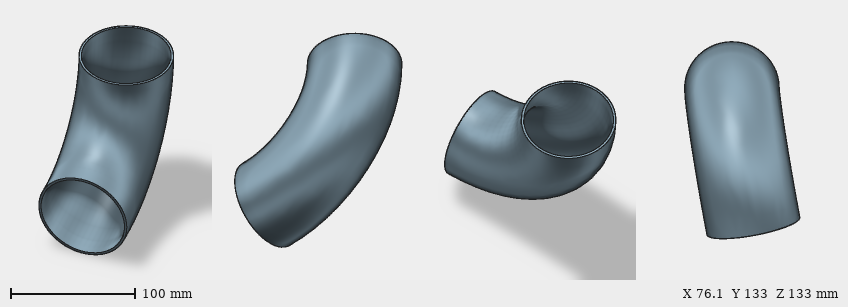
import cadquery as cq

overall_size = 133.0
outer_diameter = 76.1
wall_thickness = 2.0
bend_angle = 90.0

outer_radius = outer_diameter / 2
inner_radius = outer_radius - wall_thickness
bend_radius = overall_size - outer_radius

axis_start = (0, -bend_radius)
axis_end = (-1, -bend_radius)

result = (
    cq.Workplane("XY")
    .circle(outer_radius)
    .circle(inner_radius)
    .revolve(bend_angle, axis_start, axis_end)
)